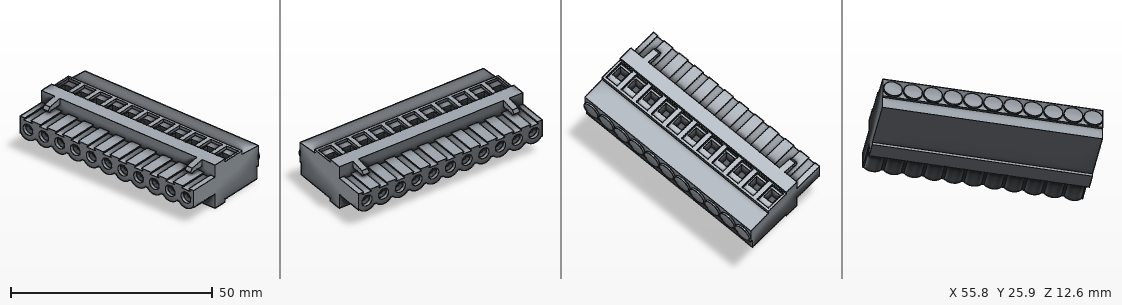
import cadquery as cq

LENGTH = 55.8
HEIGHT = 12.6
POLES = 11
PITCH = 5.1

COLLAR_FRONT = 8.4
COLLAR_BACK = 12.35
DECK_BACK = 19.0
BACK_UPPER = 25.4
BACK_LOWER = 24.85
COLLAR_STEP = 0.85
DECK_Z = HEIGHT - COLLAR_STEP
SLOPE_FRONT_Z = 10.8
SLOPE_BACK_Z = 10.25
BACK_LEDGE_Z = 4.35

TONGUE_TOP = 9.15
TONGUE_BOTTOM = 4.2
SCALLOP_BOTTOM = 3.1
SCALLOP_WIDTH = 4.35
KEYWAY_TOP_WIDTH = 2.0
KEYWAY_FLOOR_WIDTH = 2.6
KEYWAY_DEPTH = 0.65

SOCKET_Z = 6.15
SOCKET_MOUTH = 3.05
SOCKET_BORE = 1.75
SOCKET_MOUTH_DEPTH = 1.0
SOCKET_TAPER = 0.65
SOCKET_DEPTH = 5.6

RECESS_WIDTH = 3.75
RECESS_FRONT = 12.65
RECESS_BACK = 18.25
RECESS_DEPTH = 0.85
SHAFT_WIDTH = 2.85
SHAFT_FRONT = 13.35
SHAFT_BACK = 16.3
SHAFT_DEPTH = 4.45

BOSS_DIAMETER = 4.75
BOSS_Z = 6.8
BOSS_LENGTH = 0.5

LATCH_WIDTH = 1.8
LATCH_CENTRE = 22.9
LATCH_UNDERSIDE = 10.7
LATCH_SHOULDER = (4.5, 11.95)
LATCH_TIP = (3.8, 11.05)
LATCH_HOOK = (4.4, 10.4)
LATCH_HEEL = (5.1, LATCH_UNDERSIDE)

pole_xs = [(i - (POLES - 1) / 2) * PITCH for i in range(POLES)]


def extrude_along_x(points, width, centre_x):
    """Extrude a (Y, Z) outline to a width centred on centre_x."""
    outline = cq.Workplane("YZ", origin=(centre_x, 0, 0)).polyline(points).close()
    return outline.extrude(width / 2, both=True)


def block(x, width, front, back, bottom, top):
    """Box centred on x, spanning front to back in Y and bottom to top in Z."""
    size = (width, back - front, top - bottom)
    return cq.Workplane("XY").box(*size, centered=False).translate((x - width / 2, front, bottom))


def make_housing():
    outline = [
        (COLLAR_FRONT, 0),
        (COLLAR_BACK, 0),
        (COLLAR_BACK, COLLAR_STEP),
        (BACK_LOWER, COLLAR_STEP),
        (BACK_LOWER, BACK_LEDGE_Z),
        (BACK_UPPER, BACK_LEDGE_Z),
        (BACK_UPPER, SLOPE_BACK_Z),
        (DECK_BACK, SLOPE_FRONT_Z),
        (DECK_BACK, DECK_Z),
        (COLLAR_BACK, DECK_Z),
        (COLLAR_BACK, HEIGHT),
        (COLLAR_FRONT, HEIGHT),
    ]
    return extrude_along_x(outline, LENGTH, 0)


def make_tongue():
    """Plug tongue with a keyway above and a rounded scallop below each socket."""
    half = LENGTH / 2
    keyway_floor = TONGUE_TOP - KEYWAY_DEPTH
    outline = cq.Workplane("XZ").moveTo(-half, TONGUE_TOP).lineTo(-half, TONGUE_BOTTOM)
    for x in pole_xs:
        outline = outline.lineTo(x - SCALLOP_WIDTH / 2, TONGUE_BOTTOM)
        outline = outline.threePointArc((x, SCALLOP_BOTTOM), (x + SCALLOP_WIDTH / 2, TONGUE_BOTTOM))
    outline = outline.lineTo(half, TONGUE_BOTTOM).lineTo(half, TONGUE_TOP)
    for x in reversed(pole_xs):
        outline = outline.lineTo(x + KEYWAY_TOP_WIDTH / 2, TONGUE_TOP)
        outline = outline.lineTo(x + KEYWAY_FLOOR_WIDTH / 2, keyway_floor)
        outline = outline.lineTo(x - KEYWAY_FLOOR_WIDTH / 2, keyway_floor)
        outline = outline.lineTo(x - KEYWAY_TOP_WIDTH / 2, TONGUE_TOP)
    return outline.close().extrude(-COLLAR_FRONT)


def make_socket(x):
    """Blind bore behind a straight mouth and a tapered lead-in, opening at the tongue tip."""
    profile = [
        (0, 0),
        (0, -SOCKET_MOUTH / 2),
        (SOCKET_MOUTH_DEPTH, -SOCKET_MOUTH / 2),
        (SOCKET_MOUTH_DEPTH + SOCKET_TAPER, -SOCKET_BORE / 2),
        (SOCKET_DEPTH, -SOCKET_BORE / 2),
        (SOCKET_DEPTH, 0),
    ]
    socket = cq.Workplane("YZ").polyline(profile).close().revolve(360, (0, 0, 0), (1, 0, 0))
    return socket.translate((x, 0, SOCKET_Z))


def make_screw_well(x):
    recess = block(x, RECESS_WIDTH, RECESS_FRONT, RECESS_BACK, DECK_Z - RECESS_DEPTH, DECK_Z)
    shaft = block(x, SHAFT_WIDTH, SHAFT_FRONT, SHAFT_BACK, DECK_Z - SHAFT_DEPTH, DECK_Z)
    return recess.union(shaft)


def make_boss(x):
    back_face = cq.Workplane("XZ", origin=(x, BACK_UPPER, BOSS_Z))
    return back_face.circle(BOSS_DIAMETER / 2).extrude(-BOSS_LENGTH)


def make_latch(centre_x):
    outline = [
        (COLLAR_FRONT, HEIGHT),
        LATCH_SHOULDER,
        LATCH_TIP,
        LATCH_HOOK,
        LATCH_HEEL,
        (COLLAR_FRONT, LATCH_UNDERSIDE),
    ]
    return extrude_along_x(outline, LATCH_WIDTH, centre_x)


result = make_housing().union(make_tongue())
for x in pole_xs:
    result = result.cut(make_socket(x)).cut(make_screw_well(x)).union(make_boss(x))
for x in (-LATCH_CENTRE, LATCH_CENTRE):
    result = result.union(make_latch(x))